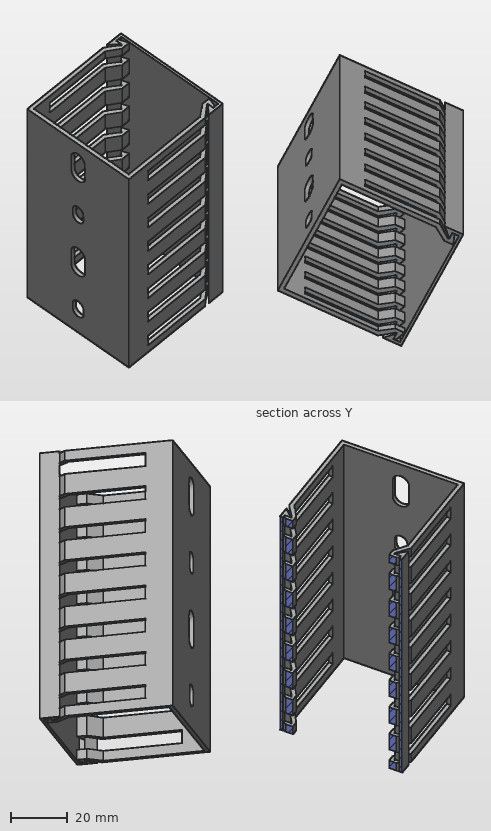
import cadquery as cq

width = 49.0
depth = 48.8
length = 100.0
half_width = width / 2
base_y = -depth / 2
cover_y = depth / 2

wall = 1.7
hook_wall = 1.4
bend_start_drop = 9.2
bend_end_drop = 4.2
bend_inset = 3.8
inner_bend_shift = 0.8
hook_tip_height = 0.9
hook_clearance = 0.2

cover_plate = 1.1
cover_leg = 1.2
cover_leg_drop = 7.3
wedge_shelf_drop = 3.7

wall_slot_count = 8
wall_slot_pitch = length / wall_slot_count
wall_slot_height = 5.0
wall_slot_floor = 10.0

mount_slot_count = 4
mount_slot_pitch = length / mount_slot_count
long_slot_size = (14.0, 6.5)
short_slot_size = (8.0, 5.0)


def mirrored_outline(right_half):
    """Close an outline given its +X half by adding the mirror image in reverse order."""
    left_half = [(-x, y) for x, y in reversed(right_half)]
    return cq.Workplane("XY").polyline(right_half + left_half).close()


def make_channel_profile():
    hook_x = half_width - bend_inset
    hook_inner_x = hook_x - hook_wall
    hook_tip_x = half_width - cover_leg
    hook_under_y = cover_y - wedge_shelf_drop
    inner_x = half_width - wall
    right_half = [
        (half_width, base_y),
        (half_width, cover_y - bend_start_drop),
        (hook_x, cover_y - bend_end_drop),
        (hook_x, hook_under_y),
        (hook_tip_x, hook_under_y),
        (hook_tip_x, hook_under_y + hook_tip_height),
        (hook_inner_x, cover_y - cover_plate - hook_clearance),
        (hook_inner_x, cover_y - bend_end_drop - inner_bend_shift),
        (inner_x, cover_y - bend_start_drop - inner_bend_shift),
        (inner_x, base_y + wall),
    ]
    return mirrored_outline(right_half).extrude(length)


def make_wall_slots():
    """Cutters that reach across both walls, from the slot floor out past the hooks."""
    centers = [(0, 0, (i + 0.5) * wall_slot_pitch) for i in range(wall_slot_count)]
    cutter = cq.Workplane("XY").box(width, depth, wall_slot_height).translate((0, wall_slot_floor, 0))
    return [cutter.translate(center) for center in centers]


def make_mount_slot(size, z):
    slot_length, slot_width = size
    return (
        cq.Workplane("XZ", origin=(0, base_y, z))
        .slot2D(slot_length, slot_width, 90)
        .extrude(-wall)
    )


def make_channel():
    channel = make_channel_profile()
    for cutter in make_wall_slots():
        channel = channel.cut(cutter)
    for i in range(mount_slot_count):
        size = short_slot_size if i % 2 == 0 else long_slot_size
        channel = channel.cut(make_mount_slot(size, (i + 0.5) * mount_slot_pitch))
    return channel


def make_cover():
    leg_inner_x = half_width - cover_leg
    wedge_reach = cover_leg_drop - wedge_shelf_drop
    shelf_y = cover_y - wedge_shelf_drop
    right_half = [
        (half_width, cover_y),
        (half_width, cover_y - cover_leg_drop),
        (half_width - wedge_reach, shelf_y),
        (leg_inner_x, shelf_y),
        (leg_inner_x, cover_y - cover_plate),
    ]
    return mirrored_outline(right_half).extrude(length)


channel = make_channel()
cover = make_cover()
result = cq.Compound.makeCompound([channel.val(), cover.val()])